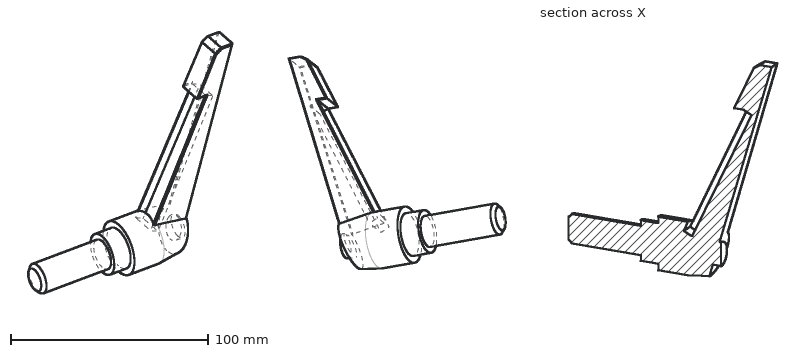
import cadquery as cq
import math

hub_radius = 14.5
hub_cylinder_end = 18.0
hub_back_radius = 12.1
hub_back = 36.0
collar_radius = 11.0
collar_length = 10.0
stud_radius = 8.0
stud_end = -51.0
stud_chamfer = 1.9
stub_radius = 6.5

tip_y = 64.9
total_height = 119.9
arm_top = total_height - hub_radius
back_slope = 0.3
front_slope = 0.48
front_base_y = 16.3
front_base_z = 12.5
notch_z = 79.6
grip_step = 5.4
top_flat_front_y = 58.0
nose_z = 103.1
arm_root_z = 2.4

top_half_width = 6.6
base_half_width = 7.9
edge_bevel = 0.5
rim_thickness = 1.0
pocket_depth = 5.0
pocket_bottom_z = 9.2


def back_y(z):
    """Y of the arm's back face at height z."""
    return tip_y - back_slope * (arm_top - z)


def front_y(z):
    """Y of the arm's front face at height z, below the grip."""
    return front_base_y + front_slope * (z - front_base_z)


def cylinder(radius, start_y, end_y):
    """Cylinder on the screw axis."""
    return cq.Workplane("XZ", origin=(0, start_y, 0)).circle(radius).extrude(start_y - end_y)


def tapered_prism(profile, inset):
    """Side profile extruded across X, with flanks converging toward the arm tip."""
    top_x = top_half_width - inset
    base_x = base_half_width - inset
    slab = cq.Workplane("YZ").polyline(profile).close().extrude(base_half_width, both=True)
    flanks = (
        cq.Workplane("XZ", origin=(0, tip_y, 0))
        .polyline([(-base_x, arm_root_z), (base_x, arm_root_z), (top_x, arm_top), (-top_x, arm_top)])
        .close()
        .extrude(2 * tip_y)
    )
    return slab.intersect(flanks)


def make_hub():
    """Cylinder with a tapered rear, cut off along the arm's back face."""
    half_section = [
        (0, 0),
        (hub_radius, 0),
        (hub_radius, hub_cylinder_end),
        (hub_back_radius, hub_back),
        (0, hub_back),
    ]
    hub = (
        cq.Workplane("XY")
        .polyline(half_section)
        .close()
        .revolve(360, (0, 0, 0), (0, 1, 0))
    )
    low_z = -2 * hub_radius
    high_z = 2 * hub_radius
    keep = (
        cq.Workplane("YZ")
        .polyline([(0, low_z), (back_y(low_z), low_z), (back_y(high_z), high_z), (0, high_z)])
        .close()
        .extrude(2 * hub_radius, both=True)
    )
    return hub.intersect(keep)


def make_arm():
    """Tapered arm with a stepped grip and lightly bevelled long edges."""
    profile = [
        (back_y(arm_root_z), arm_root_z),
        (tip_y, arm_top),
        (top_flat_front_y, arm_top),
        (front_y(nose_z) - grip_step, nose_z),
        (front_y(notch_z) - grip_step, notch_z),
        (front_y(notch_z), notch_z),
        (front_y(arm_root_z), arm_root_z),
    ]
    return tapered_prism(profile, 0).faces("<X or >X").chamfer(edge_bevel)


def make_pocket():
    """Recess below the grip, sunk square to the front face between two thin rims."""
    front_length = math.hypot(1, front_slope)
    inward_y = pocket_depth / front_length
    inward_z = -pocket_depth * front_slope / front_length
    profile = [
        (front_y(notch_z), notch_z),
        (front_y(notch_z) + inward_y, notch_z + inward_z),
        (front_y(pocket_bottom_z) + inward_y, pocket_bottom_z + inward_z),
        (front_y(pocket_bottom_z), pocket_bottom_z),
    ]
    return tapered_prism(profile, rim_thickness)


collar = cylinder(collar_radius, 0, -collar_length)
stud = cylinder(stud_radius, -collar_length, stud_end).faces("<Y").chamfer(stud_chamfer)
stub = cylinder(stub_radius, hub_back, 0)

body = make_hub().union(make_arm()).cut(make_pocket())
result = body.union(stub).union(collar).union(stud)